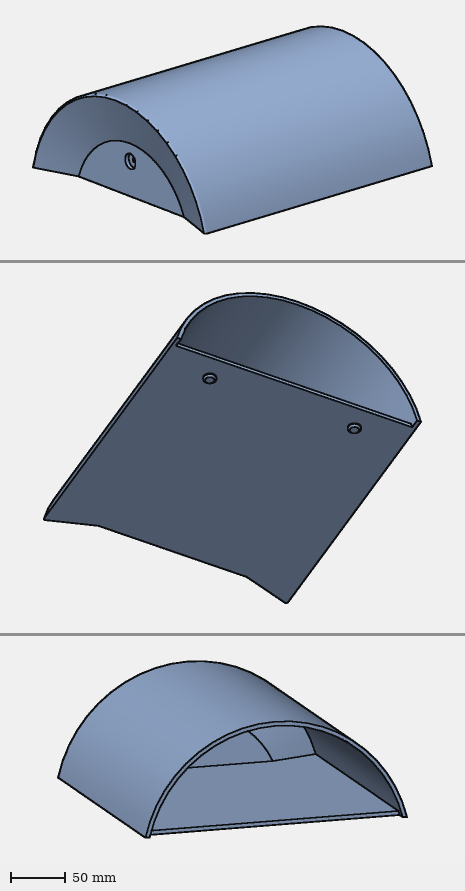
import cadquery as cq

outer_radius = 130.0
height = 100.0
length = 270.0
tilt = 2.0
wall = 4.0
axis_drop = outer_radius - height

rim_fillet = 2.0
dish_rim_radius = outer_radius - rim_fillet
dish_floor_radius = 82.5
dish_depth = 15.0

front_wall = 6.0
cavity_start = dish_depth + front_wall
cavity_radius = outer_radius - wall
floor_setback = 10.0

screw_height = 34.8
screw_diameter = 3.5
head_diameter = 15.0
head_depth = 4.3

foot_diameter = 12.5
foot_height = 3.0
foot_chamfer = 2.0
foot_rear_distance = 34.3
foot_spacing = 150.0


def tilted(body):
    """Raise the rear end by turning the body about the front bottom edge."""
    return body.rotate((0, 0, 0), (1, 0, 0), tilt)


def rod(radius, start, end, level):
    """Cylinder along Y at a height above the underside, between two distances from the front."""
    plane = cq.Plane(origin=(0, start, level), xDir=(1, 0, 0), normal=(0, 1, 0))
    return cq.Workplane(plane).circle(radius).extrude(end - start)


def slab(start, end, bottom):
    """Block as wide as the full cylinder, reaching from a given bottom up to the crown."""
    return (
        cq.Workplane("XY")
        .box(2 * outer_radius, end - start, height - bottom, centered=(True, False, False))
        .translate((0, start, bottom))
    )


def make_dish():
    """Conical recess that narrows from the rim to the flat front wall."""
    profile = [(0, 0), (dish_rim_radius, 0), (dish_floor_radius, dish_depth), (0, dish_depth)]
    return (
        cq.Workplane("XY")
        .polyline(profile)
        .close()
        .revolve(360, (0, 0, 0), (0, 1, 0))
        .translate((0, 0, -axis_drop))
    )


def make_cavity():
    """Hollow behind the dish and above the floor, open all the way down behind the end of the floor."""
    bore = rod(cavity_radius, front_wall, length, -axis_drop)
    bore = bore.cut(make_dish().translate((0, front_wall, 0)))
    above_floor = slab(front_wall, length, wall)
    behind_floor = slab(length - floor_setback, length, 0)
    return bore.intersect(above_floor.union(behind_floor))


def make_screw_hole():
    head = rod(head_diameter / 2, dish_depth, dish_depth + head_depth, screw_height)
    shank = rod(screw_diameter / 2, dish_depth, cavity_start, screw_height)
    return head.union(shank)


def make_housing():
    barrel = rod(outer_radius, 0, length, -axis_drop).faces("<Y").edges().fillet(rim_fillet)
    body = barrel.intersect(slab(0, length, 0))
    return tilted(body.cut(make_dish()).cut(make_cavity()).cut(make_screw_hole()))


def make_foot(x):
    """Round pad with a chamfered lower rim, standing against the underside."""
    pad = cq.Workplane("XY").circle(foot_diameter / 2).extrude(-foot_height)
    pad = pad.faces("<Z").edges().chamfer(foot_chamfer)
    return tilted(pad.translate((x, length - foot_rear_distance, 0)))


housing = make_housing()
feet = [make_foot(side * foot_spacing / 2) for side in (-1, 1)]

result = cq.Compound.makeCompound([housing.val(), *[foot.val() for foot in feet]])